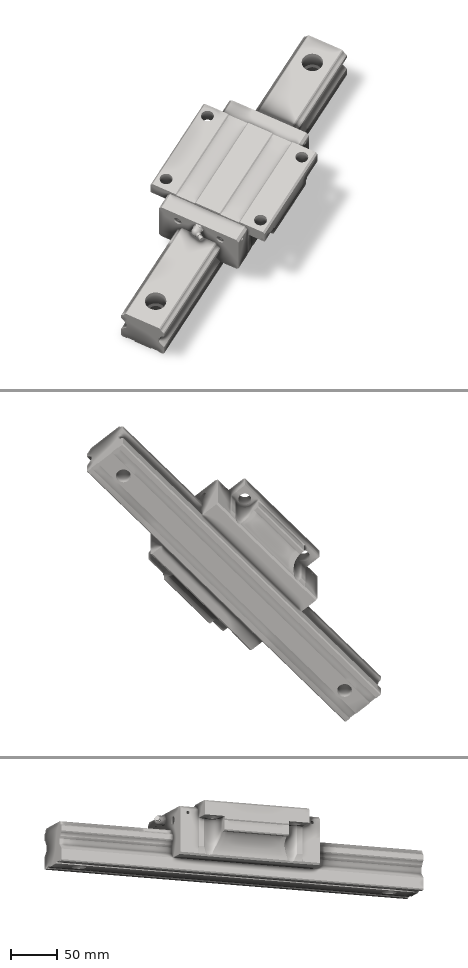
import cadquery as cq
import math


rail_length = 420.0
rail_half_width = 26.25
rail_height = 44.5
rail_top_half_width = 20.5
rail_waist_half_width = 19.7
rail_waist_bottom = 19.5
rail_waist_top = 25.5
rail_shoulder_height = 13.0
track_centre_z = 35.5
track_lip = 1.3
track_inner_x = 22.0
upper_track_top = rail_height - track_lip
upper_track_bottom = 39.5
lower_track_bottom = 28.0
lower_track_top = 2 * track_centre_z - upper_track_bottom
track_sag = 0.65
base_chamfer = 1.3
base_groove_inner_x = 10.0
base_groove_outer_x = 19.5
base_groove_depth = 1.3
rail_hole_spacing = 360.0
rail_hole_diameter = 16.0
rail_bore_diameter = 23.0
rail_bore_depth = 20.0

block_width = 140.0
block_length = 121.0
block_top = 70.0
block_edge_chamfer = 2.0
flange_bottom = 38.2
flange_bottom_chamfer = 1.3
flange_setback = 1.3
flange_setback_top = 51.0
body_bottom = rail_shoulder_height
body_bottom_chamfer = 2.0
skirt_top_x = 62.0
skirt_middle = (53.8, 30.2)
skirt_bottom_x = 48.5
top_groove_inner_x = 14.5
top_groove_outer_x = 39.5
top_groove_depth = 1.3

bolt_spacing_x = 116.0
bolt_spacing_y = 95.0
bolt_hole_diameter = 14.0
bolt_pocket_radius = 10.3
bolt_pocket_top = 53.8
bolt_pocket_wall_x = 50.0

carriage_length = 161.5
cap_half_width = 48.7
cap_top = 66.5
cap_top_chamfer = 3.0
cap_screw_spacing = 52.0
cap_screw_z = 54.0
cap_screw_head_diameter = 9.2
cap_screw_head_depth = 2.0
cap_screw_hole_diameter = 4.0
cap_screw_hole_depth = 6.5
port_z = 59.2
port_diameter = 3.8
port_depth = 6.5
port_spacing_y = 144.0

nipple_hex_corners = 11.8
nipple_hex_thickness = 2.5
nipple_collar_radius = 5.0
nipple_collar_length = 3.8
nipple_angle = 30.0
spout_radius = 3.0
spout_shoulder = 6.7
spout_neck_radius = 1.5
spout_neck_end = 8.5
spout_head_radius = 2.5
spout_length = 11.8

block_half_width = block_width / 2
block_half_length = block_length / 2
carriage_half_length = carriage_length / 2
cap_length = carriage_half_length - block_half_length


def extrude_along_y(profile, length):
    """Extrude an XZ profile by the given length, centred on Y = 0."""
    return profile.extrude(length / 2, both=True)


def mirrored_ends(shape):
    """The shape together with its mirror image across the XZ plane."""
    return shape.union(shape.mirror("XZ"))


def mirrored_sides(shape):
    """The shape together with its mirror image across the YZ plane."""
    return shape.union(shape.mirror("YZ"))


def track_middle(start, end):
    """Middle point of a ball track, pushed from its chord towards the rail."""
    chord_x = end[0] - start[0]
    chord_z = end[1] - start[1]
    chord = math.hypot(chord_x, chord_z)
    middle_x = (start[0] + end[0]) / 2
    middle_z = (start[1] + end[1]) / 2
    return (middle_x + track_sag * chord_z / chord, middle_z - track_sag * chord_x / chord)


def rail_bar():
    """The plain rail, without its base grooves and mounting holes."""
    track_outer_x = rail_half_width - track_lip
    upper_start = (track_inner_x, upper_track_top)
    upper_end = (track_outer_x, upper_track_bottom)
    lower_start = (track_outer_x, lower_track_top)
    lower_end = (track_inner_x, lower_track_bottom)
    half_profile = (
        cq.Workplane("XZ")
        .moveTo(0, rail_height)
        .lineTo(rail_top_half_width, rail_height)
        .lineTo(*upper_start)
        .threePointArc(track_middle(upper_start, upper_end), upper_end)
        .lineTo(rail_half_width, upper_track_bottom - track_lip)
        .lineTo(rail_half_width, lower_track_top + track_lip)
        .lineTo(*lower_start)
        .threePointArc(track_middle(lower_start, lower_end), lower_end)
        .lineTo(rail_waist_half_width, rail_waist_top)
        .lineTo(rail_waist_half_width, rail_waist_bottom)
        .lineTo(rail_half_width, rail_shoulder_height)
        .lineTo(rail_half_width, base_chamfer)
        .lineTo(rail_half_width - base_chamfer, 0)
        .lineTo(0, 0)
        .close()
    )
    return mirrored_sides(extrude_along_y(half_profile, rail_length))


def make_rail():
    base_groove_width = base_groove_outer_x - base_groove_inner_x
    base_groove_x = (base_groove_outer_x + base_groove_inner_x) / 2
    base_grooves = (
        cq.Workplane("XY")
        .pushPoints([(-base_groove_x, 0), (base_groove_x, 0)])
        .rect(base_groove_width, rail_length)
        .extrude(base_groove_depth)
    )
    return (
        rail_bar()
        .cut(base_grooves)
        .faces(">Z")
        .workplane(origin=(0, 0, rail_height))
        .rarray(4, rail_hole_spacing, 1, 2)
        .cboreHole(rail_hole_diameter, rail_bore_diameter, rail_bore_depth)
    )


def flanged_block():
    """Middle of the carriage: wide flanges over a body with a hollow skirt."""
    lower_side_x = block_half_width - flange_setback
    body_chamfer_top = body_bottom + body_bottom_chamfer
    half_profile = (
        cq.Workplane("XZ")
        .moveTo(0, block_top)
        .lineTo(block_half_width - block_edge_chamfer, block_top)
        .lineTo(block_half_width, block_top - block_edge_chamfer)
        .lineTo(block_half_width, flange_setback_top)
        .lineTo(lower_side_x, flange_setback_top - flange_setback)
        .lineTo(lower_side_x, flange_bottom + flange_bottom_chamfer)
        .lineTo(lower_side_x - flange_bottom_chamfer, flange_bottom)
        .lineTo(skirt_top_x, flange_bottom)
        .threePointArc(skirt_middle, (skirt_bottom_x, body_chamfer_top))
        .lineTo(skirt_bottom_x - body_bottom_chamfer, body_bottom)
        .lineTo(0, body_bottom)
        .close()
    )
    return mirrored_sides(extrude_along_y(half_profile, block_length))


def top_grooves():
    """Two shallow grooves with sloping walls along the top of the block."""
    groove_floor = block_top - top_groove_depth
    groove = (
        cq.Workplane("XZ")
        .moveTo(top_groove_inner_x, block_top)
        .lineTo(top_groove_inner_x + top_groove_depth, groove_floor)
        .lineTo(top_groove_outer_x - top_groove_depth, groove_floor)
        .lineTo(top_groove_outer_x, block_top)
        .close()
    )
    return mirrored_sides(extrude_along_y(groove, block_length))


def bolt_pockets():
    """Round clearance around each bolt, open to the block's side and end."""
    bolt_x = bolt_spacing_x / 2
    bolt_y = bolt_spacing_y / 2
    base = cq.Workplane("XY")
    around_bolt = base.center(bolt_x, bolt_y).circle(bolt_pocket_radius).extrude(bolt_pocket_top)
    to_side = base.box(
        block_half_width - bolt_x,
        block_half_length - bolt_y + bolt_pocket_radius,
        bolt_pocket_top,
        centered=False,
    ).translate((bolt_x, bolt_y - bolt_pocket_radius, 0))
    to_end = base.box(
        block_half_width - bolt_pocket_wall_x,
        block_half_length - bolt_y,
        bolt_pocket_top,
        centered=False,
    ).translate((bolt_pocket_wall_x, bolt_y, 0))
    return mirrored_ends(mirrored_sides(around_bolt.union(to_side).union(to_end)))


def bolt_holes():
    return (
        cq.Workplane("XY")
        .rarray(bolt_spacing_x, bolt_spacing_y, 2, 2)
        .circle(bolt_hole_diameter / 2)
        .extrude(block_top)
    )


def end_cap():
    """The cap on the +Y end, with its screw recesses and side grease ports."""
    cap = (
        cq.Workplane("XY")
        .box(2 * cap_half_width, cap_length, cap_top - body_bottom, centered=(True, False, False))
        .translate((0, block_half_length, body_bottom))
        .edges("|Y and >Z")
        .chamfer(cap_top_chamfer)
        .edges("|Y and <Z")
        .chamfer(body_bottom_chamfer)
    )
    screw_plane = cq.Workplane("XZ", origin=(0, carriage_half_length, cap_screw_z))
    screw_points = screw_plane.rarray(cap_screw_spacing, 4, 2, 1)
    screw_heads = screw_points.circle(cap_screw_head_diameter / 2).extrude(cap_screw_head_depth)
    screw_holes = screw_points.circle(cap_screw_hole_diameter / 2).extrude(cap_screw_hole_depth)
    port_y = port_spacing_y / 2
    port = (
        cq.Workplane("YZ", origin=(cap_half_width - port_depth, port_y, port_z))
        .circle(port_diameter / 2)
        .extrude(port_depth)
    )
    return cap.cut(screw_heads).cut(screw_holes).cut(mirrored_sides(port))


def make_carriage():
    block = flanged_block().cut(top_grooves()).cut(bolt_pockets()).cut(bolt_holes())
    return block.union(mirrored_ends(end_cap())).cut(rail_bar())


def make_nipple():
    """Hexagon foot, round collar with a domed end, and a tilted spout."""
    elbow_y = -carriage_half_length - nipple_hex_thickness - nipple_collar_length
    foot = (
        cq.Workplane("XZ", origin=(0, -carriage_half_length, port_z))
        .polygon(6, nipple_hex_corners)
        .extrude(nipple_hex_thickness)
    )
    collar = (
        cq.Workplane("XZ", origin=(0, elbow_y, port_z))
        .circle(nipple_collar_radius)
        .extrude(-nipple_collar_length)
    )
    dome = (
        cq.Workplane("XY")
        .sphere(nipple_collar_radius)
        .translate((0, elbow_y, port_z))
    )
    spout = (
        cq.Workplane("XY")
        .lineTo(0, spout_radius)
        .lineTo(spout_shoulder, spout_radius)
        .lineTo(spout_shoulder, spout_neck_radius)
        .lineTo(spout_neck_end, spout_neck_radius)
        .lineTo(spout_neck_end, spout_head_radius)
        .lineTo(spout_length, spout_head_radius)
        .lineTo(spout_length, 0)
        .close()
        .revolve(360, (0, 0, 0), (1, 0, 0))
        .rotate((0, 0, 0), (0, 0, 1), -nipple_angle)
        .translate((0, elbow_y, port_z))
    )
    return foot.union(collar).union(dome).union(spout)


rail = make_rail()
carriage = make_carriage()
nipple = make_nipple()

bodies = [rail, carriage, nipple]
result = cq.Compound.makeCompound([body.solids().val() for body in bodies])